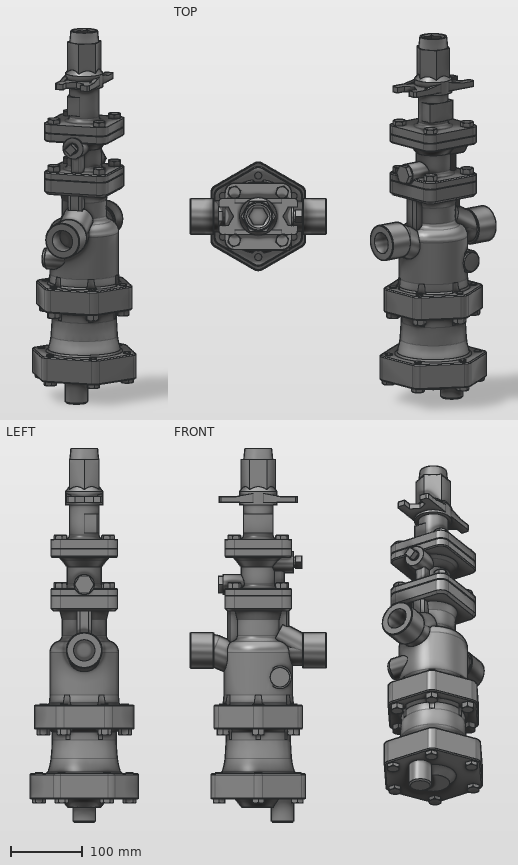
import cadquery as cq
import math

CAP_BOTTOM = 21.0
LOWER_FLANGE = (32.5, 68.0)
TUBE_RELIEF_BOTTOM = 116.0
MIDDLE_FLANGE = (130.0, 164.0)
SKIRT_TOP = 177.5
SHOULDER_BOTTOM = 237.0
PORT_AXIS = 240.0
CLAMP_FLANGE = (295.0, 327.0)
CLAMP_JOINT = 316.5
COVER_FLANGE = (370.0, 394.5)
COVER_JOINT = 382.0
WRENCH_FLAT = (404.0, 430.5)
HANDLE_RING = (443.0, 462.0)
NUT_TOP = 507.0
TOP = 522.0

CORNERS_ON_Y = 30
FLANGE_CHAMFER = 1.5
LOWER_FLANGE_FLATS = 134.5
LOWER_FLANGE_WIDTH = 132.5
LOWER_FLANGE_CORNER = 11.5
LOWER_BOLT_RADIUS = 63.0
MIDDLE_FLANGE_FLATS = 124.0
MIDDLE_FLANGE_WIDTH = 123.5
MIDDLE_FLANGE_CORNER = 13.0
MIDDLE_BOLT_RADIUS = 57.0
SQUARE_SIDE = 93.0
SQUARE_CORNER = 13.0
SQUARE_BOLT_OFFSET = 33.5
CLAMP_BOTTOM_CHAMFER = 3.5
JOINT_GAP = 1.0
JOINT_DEPTH = 0.5

BOLT_FLATS = 16.0
BOLT_CHAMFER = 1.3
BOLT_END_DIAMETER = 10.0
BOLT_END_HEIGHT = 1.5
CLAMP_BOLT_HEAD = 8.0
COVER_BOLT_HEAD = 6.5
SQUARE_BOLT_TURN = 15
MIDDLE_BOLT_HEAD = 8.5
LOWER_BOLT_HEAD = 6.0

BODY_RADIUS = 48.0
NECK_RADIUS = 62.0 / 2
TUBE_RADIUS = 45.0
STEM_RADIUS = 21.0
TUBE_RELIEF_RADIUS = 12.5
SKIRT_RELIEF_RADIUS = 10.0

PORT_DIAMETER = 50.0
PORT_END = 95.0
PORT_INNER = 62.0
PORT_BORE = 30.0
PORT_EDGE = 1.0
DUCT_LENGTH = 42.0


def across_corners(flats):
    """Corner-to-corner size of a hexagon."""
    return flats / math.cos(math.pi / 6)


def rod(start, direction, radius, length):
    """Solid cylinder from a start point along a direction."""
    return cq.Workplane(cq.Solid.makeCylinder(radius, length, cq.Vector(*start), cq.Vector(*direction)))


def hexagon(flats, bottom, height, turn=0):
    """Hexagonal prism on the Z axis, corners on X before turning."""
    prism = cq.Workplane().workplane(offset=bottom).polygon(6, across_corners(flats)).extrude(height)
    return prism.rotate((0, 0, 0), (0, 0, 1), turn)


def bolt_head(bottom, height, turn, free_end):
    """Hexagonal bolt head on the Z axis with the corners of its free end rounded down."""
    limit = (
        cq.Workplane()
        .workplane(offset=bottom)
        .circle(across_corners(BOLT_FLATS) / 2)
        .extrude(height)
        .faces(free_end)
        .chamfer(BOLT_CHAMFER)
    )
    return hexagon(BOLT_FLATS, bottom, height, turn).intersect(limit)


def revolve_profile(profile):
    """Solid of revolution about Z from an open outline that starts and ends on the axis."""
    return profile.close().revolve(360, (0, 0, 0), (0, 1, 0))


def six_around(radius):
    """Points of a six-bolt circle, the first one on +Y."""
    angles = [math.radians(90 + 60 * i) for i in range(6)]
    return [(radius * math.cos(a), radius * math.sin(a)) for a in angles]


def hex_flange(levels, flats, width, corner, bolt_radius, head_height):
    """Flange with corners along Y, trimmed along X, with bolt heads below and bolt ends above."""
    bottom, top = levels
    side_limit = cq.Workplane().workplane(offset=bottom).rect(width, 2 * flats).extrude(top - bottom)
    flange = (
        hexagon(flats, bottom, top - bottom, CORNERS_ON_Y)
        .intersect(side_limit)
        .edges("|Z")
        .fillet(corner)
        .faces("<Z or >Z")
        .chamfer(FLANGE_CHAMFER)
    )
    head = bolt_head(bottom - head_height, head_height, CORNERS_ON_Y, "<Z")
    for x, y in six_around(bolt_radius):
        flange = flange.union(head.translate((x, y, 0)))
    ends = (
        cq.Workplane()
        .workplane(offset=top)
        .pushPoints(six_around(bolt_radius))
        .circle(BOLT_END_DIAMETER / 2)
        .extrude(BOLT_END_HEIGHT)
    )
    return flange.union(ends)


def bolt_reliefs(bottom, top, radius):
    """Pockets that clear the bolts of the middle flange."""
    return (
        cq.Workplane()
        .workplane(offset=bottom)
        .pushPoints(six_around(MIDDLE_BOLT_RADIUS))
        .circle(radius)
        .extrude(top - bottom)
    )


def square_flange(levels, joint, head_height, bottom_chamfer, top_chamfer=0):
    """Bolted flange pair with a thin recess at the joint and four bolts on top."""
    bottom, top = levels
    flange = (
        cq.Workplane()
        .workplane(offset=bottom)
        .rect(SQUARE_SIDE, SQUARE_SIDE)
        .extrude(top - bottom)
        .edges("|Z")
        .fillet(SQUARE_CORNER)
        .faces("<Z")
        .chamfer(bottom_chamfer)
    )
    if top_chamfer:
        flange = flange.faces(">Z").chamfer(top_chamfer)
    inner_side = SQUARE_SIDE - 2 * JOINT_DEPTH
    core = (
        cq.Workplane()
        .workplane(offset=joint - JOINT_GAP / 2)
        .rect(inner_side, inner_side)
        .extrude(JOINT_GAP)
        .edges("|Z")
        .fillet(SQUARE_CORNER - JOINT_DEPTH)
    )
    band = cq.Workplane().box(2 * SQUARE_SIDE, 2 * SQUARE_SIDE, JOINT_GAP).translate((0, 0, joint))
    flange = flange.cut(band.cut(core))
    head = bolt_head(top, head_height, SQUARE_BOLT_TURN, ">Z")
    for x in (-SQUARE_BOLT_OFFSET, SQUARE_BOLT_OFFSET):
        for y in (-SQUARE_BOLT_OFFSET, SQUARE_BOLT_OFFSET):
            flange = flange.union(head.translate((x, y, 0)))
    return flange


def bottom_cap():
    """Dished cap under the lower flange, with an offset drain stub."""
    cap_radius = 32.5
    cap_floor_radius = 23.0
    stub_diameter = 32.0
    stub_offset = 34.0
    stub_chamfer = 2.0
    flange_bottom = LOWER_FLANGE[0]
    cap = revolve_profile(
        cq.Workplane("XZ")
        .moveTo(0, CAP_BOTTOM)
        .lineTo(cap_floor_radius, CAP_BOTTOM)
        .lineTo(cap_radius, flange_bottom)
        .lineTo(0, flange_bottom)
    )
    stub = (
        cq.Workplane()
        .center(stub_offset, 0)
        .circle(stub_diameter / 2)
        .extrude(flange_bottom)
        .faces("<Z")
        .chamfer(stub_chamfer)
    )
    return cap.union(stub)


def lower_tube():
    """Tube between the hexagonal flanges, flaring out towards the lower one."""
    flare_top = 115.0
    flare_start = (46.5, 89.5)
    flare_middle = (48.0, 80.0)
    flare_end = (50.5, 70.5)
    foot_radius = 54.0
    collar_radius = 49.0
    collar_height = 4.0
    return revolve_profile(
        cq.Workplane("XZ")
        .moveTo(0, LOWER_FLANGE[1])
        .lineTo(foot_radius, LOWER_FLANGE[1])
        .lineTo(*flare_end)
        .threePointArc(flare_middle, flare_start)
        .lineTo(TUBE_RADIUS, flare_top)
        .lineTo(TUBE_RADIUS, MIDDLE_FLANGE[0] - collar_height)
        .lineTo(collar_radius, MIDDLE_FLANGE[0])
        .lineTo(0, MIDDLE_FLANGE[0])
    )


def body():
    """Main body with a round shoulder and a neck that widens below the clamp flange."""
    skirt_radius = 49.0
    skirt_fillet = 2.5
    shoulder_round = 16.5
    neck_fillet = 8.5
    neck_straight_top = 283.0
    neck_top_radius = 34.0
    flange_top = MIDDLE_FLANGE[1]
    round_centre = BODY_RADIUS - shoulder_round
    tangent_angle = math.acos((NECK_RADIUS + neck_fillet - round_centre) / (shoulder_round + neck_fillet))
    tangent_radius = round_centre + shoulder_round * math.cos(tangent_angle)
    tangent_level = SHOULDER_BOTTOM + shoulder_round * math.sin(tangent_angle)
    neck_bottom = SHOULDER_BOTTOM + (shoulder_round + neck_fillet) * math.sin(tangent_angle)
    return revolve_profile(
        cq.Workplane("XZ")
        .moveTo(0, flange_top)
        .lineTo(skirt_radius + skirt_fillet, flange_top)
        .lineTo(skirt_radius, flange_top + skirt_fillet)
        .lineTo(BODY_RADIUS, SKIRT_TOP)
        .lineTo(BODY_RADIUS, SHOULDER_BOTTOM)
        .radiusArc((tangent_radius, tangent_level), -shoulder_round)
        .radiusArc((NECK_RADIUS, neck_bottom), neck_fillet)
        .lineTo(NECK_RADIUS, neck_straight_top)
        .lineTo(neck_top_radius, CLAMP_FLANGE[0])
        .lineTo(0, CLAMP_FLANGE[0])
    )


def upper_neck():
    """Neck between the square flanges."""
    neck_radius = 24.0
    base_fillet = 6.0
    flare_bottom = 356.5
    flare_step = (31.0, 365.5)
    flare_radius = 35.0
    bottom = CLAMP_FLANGE[1]
    return revolve_profile(
        cq.Workplane("XZ")
        .moveTo(0, bottom)
        .lineTo(neck_radius + base_fillet, bottom)
        .radiusArc((neck_radius, bottom + base_fillet), base_fillet)
        .lineTo(neck_radius, flare_bottom)
        .lineTo(*flare_step)
        .lineTo(flare_radius, COVER_FLANGE[0])
        .lineTo(0, COVER_FLANGE[0])
    )


def stem():
    """Round stem on the cover with a flat-sided pad on its front half."""
    base_fillet = 6.5
    pad_side = -18.0
    pad_front = -21.0
    bottom = COVER_FLANGE[1]
    shaft = revolve_profile(
        cq.Workplane("XZ")
        .moveTo(0, bottom)
        .lineTo(STEM_RADIUS + base_fillet, bottom)
        .radiusArc((STEM_RADIUS, bottom + base_fillet), base_fillet)
        .lineTo(STEM_RADIUS, HANDLE_RING[0])
        .lineTo(0, HANDLE_RING[0])
    )
    pad_bottom, pad_top = WRENCH_FLAT
    pad = (
        cq.Workplane()
        .workplane(offset=pad_bottom)
        .moveTo(-STEM_RADIUS, 0)
        .lineTo(-STEM_RADIUS, pad_side)
        .threePointArc((0, pad_front), (STEM_RADIUS, pad_side))
        .lineTo(STEM_RADIUS, 0)
        .close()
        .extrude(pad_top - pad_bottom)
    )
    return shaft.union(pad)


def top_nut():
    """Hexagonal nut on the handle ring, ending in a conical tip with a hexagonal socket."""
    nut_flats = 42.0
    ring_radius = 26.0
    slope_height = 7.0
    tip_base_radius = 20.5
    tip_radius = 19.0
    socket_flats = 23.5
    socket_depth = 10.5
    countersink_radius = 16.0
    countersink_depth = 2.0
    ring_bottom, ring_top = HANDLE_RING
    ring = revolve_profile(
        cq.Workplane("XZ")
        .moveTo(0, ring_bottom)
        .lineTo(ring_radius, ring_bottom)
        .lineTo(ring_radius, ring_top)
        .lineTo(nut_flats / 2, ring_top + slope_height)
        .lineTo(0, ring_top + slope_height)
    )
    tip = revolve_profile(
        cq.Workplane("XZ")
        .moveTo(0, NUT_TOP)
        .lineTo(tip_base_radius, NUT_TOP)
        .lineTo(tip_radius, TOP)
        .lineTo(0, TOP)
    )
    nut = hexagon(nut_flats, ring_top, NUT_TOP - ring_top)
    socket = hexagon(socket_flats, TOP - socket_depth, socket_depth)
    countersink = revolve_profile(
        cq.Workplane("XZ")
        .moveTo(0, TOP)
        .lineTo(countersink_radius, TOP)
        .lineTo(socket_flats / 2, TOP - countersink_depth)
        .lineTo(0, TOP - countersink_depth)
    )
    return ring.union(nut).union(tip).cut(socket).cut(countersink)


def handle():
    """Flat double-ended spanner through the ring, with sloping ribs along its long sides."""
    half_length = 55.0
    half_width = 25.0
    plate_bottom, plate_top = 447.0, 454.5
    jaw_flats = 25.5
    jaw_root = 34.5
    tip_chamfer = 2.5
    rib_width = 6.5
    rib_length = 32.5
    rib_top = 459.5
    rib_crest = 7.0
    thickness = plate_top - plate_bottom

    plate = (
        cq.Workplane()
        .box(2 * half_length, 2 * half_width, thickness)
        .edges("|Z")
        .chamfer(tip_chamfer)
        .translate((0, 0, plate_bottom + thickness / 2))
    )
    jaw_centre = jaw_root + across_corners(jaw_flats) / 2
    jaw = hexagon(jaw_flats, plate_bottom, thickness)
    for side in (-1, 1):
        mouth = cq.Workplane().box(jaw_flats, jaw_flats, 2 * thickness)
        mouth = mouth.translate((jaw_centre + jaw_flats / 2, 0, plate_bottom + thickness / 2))
        opening = jaw.translate((jaw_centre, 0, 0)).union(mouth)
        plate = plate.cut(opening.mirror("YZ") if side < 0 else opening)
    rib = (
        cq.Workplane("XZ", origin=(0, rib_width / 2, 0))
        .polyline(
            [
                (-rib_length, plate_bottom),
                (rib_length, plate_bottom),
                (rib_length, plate_top),
                (rib_crest, rib_top),
                (-rib_crest, rib_top),
                (-rib_length, plate_top),
            ]
        )
        .close()
        .extrude(rib_width)
    )
    rib_offset = half_width - rib_width / 2
    for side in (-1, 1):
        plate = plate.union(rib.translate((0, side * rib_offset, 0)))
    return plate


def pipe_port(side, duct_radius):
    """Round end on one side with a ball elbow at its inner end."""
    elbow = (side * PORT_INNER, 0, PORT_AXIS)
    end = rod(elbow, (side, 0, 0), PORT_DIAMETER / 2, PORT_END - PORT_INNER)
    ball = cq.Workplane().sphere(duct_radius).translate(elbow)
    return end.faces("<X or >X").chamfer(PORT_EDGE).union(ball)


def inlet_port():
    """Port at -X with a duct that falls towards the body."""
    duct_radius = 22.0
    tilt = math.radians(23)
    direction = (math.cos(tilt), 0, -math.sin(tilt))
    duct = rod((-PORT_INNER, 0, PORT_AXIS), direction, duct_radius, DUCT_LENGTH)
    return pipe_port(-1, duct_radius).union(duct)


def outlet_port():
    """Port at +X with one level duct to the body and one that rises to the neck."""
    duct_radius = 21.5
    tilt = math.radians(28)
    port = pipe_port(1, duct_radius)
    for direction in ((-1, 0, 0), (-math.cos(tilt), 0, math.sin(tilt))):
        port = port.union(rod((PORT_INNER, 0, PORT_AXIS), direction, duct_radius, DUCT_LENGTH))
    return port


def port_bores():
    """Blind bores in the two port ends."""
    depth = PORT_END - PORT_INNER
    left = rod((-PORT_END, 0, PORT_AXIS), (1, 0, 0), PORT_BORE / 2, depth)
    return left.union(left.mirror("YZ"))


def neck_ribs():
    """Two ribs from the clamp flange down to the ports, narrower at their outer face."""
    outer_reach = 43.0
    bevel_reach = 39.5
    half_width = 10.5
    outer_half_width = 6.0
    rib = (
        cq.Workplane()
        .workplane(offset=PORT_AXIS)
        .polyline(
            [
                (0, -half_width),
                (bevel_reach, -half_width),
                (outer_reach, -outer_half_width),
                (outer_reach, outer_half_width),
                (bevel_reach, half_width),
                (0, half_width),
            ]
        )
        .close()
        .extrude(CLAMP_FLANGE[0] - PORT_AXIS)
    )
    return rib.union(rib.mirror("YZ"))


def outlet_side_plug():
    """Boss under the cover flange on the +X side, with a square-headed plug."""
    boss_diameter = 30.0
    boss_end = 49.0
    axis = 363.5
    shank_radius = 7.5
    shank_end = 51.5
    head_diagonal = 17.0
    head_end = 61.0
    web_end = 36.5
    web_width = 15.5
    web_round = 3.5
    plug = rod((0, 0, axis), (1, 0, 0), boss_diameter / 2, boss_end)
    plug = plug.union(rod((0, 0, axis), (1, 0, 0), shank_radius, shank_end))
    head = (
        cq.Workplane("YZ", origin=(shank_end, 0, axis))
        .polygon(4, head_diagonal)
        .extrude(head_end - shank_end)
    )
    web_height = axis - CLAMP_FLANGE[1]
    web = (
        cq.Workplane()
        .box(web_end, web_width, web_height, centered=(False, True, False))
        .edges("|Z and >X")
        .fillet(web_round)
    )
    return plug.union(head).union(web.translate((0, 0, CLAMP_FLANGE[1])))


def inlet_side_plug():
    """Boss over the clamp flange on the -X side, with a hexagonal plug."""
    boss_diameter = 28.0
    boss_end = 49.0
    axis = 332.0
    head_flats = 23.5
    head_end = 56.0
    boss = rod((0, 0, axis), (-1, 0, 0), boss_diameter / 2, boss_end)
    head = (
        cq.Workplane("YZ", origin=(-head_end, 0, axis))
        .polygon(6, across_corners(head_flats))
        .extrude(head_end - boss_end)
    )
    return boss.union(head)


def front_plug():
    """Round boss with a stepped plug on the front of the body."""
    plug_x = 30.5
    plug_z = 202.5
    boss_diameter = 32.0
    boss_front = 43.5
    plug_diameter = 27.0
    plug_front = 47.5
    boss = rod((plug_x, 0, plug_z), (0, -1, 0), boss_diameter / 2, boss_front)
    return boss.union(rod((plug_x, 0, plug_z), (0, -1, 0), plug_diameter / 2, plug_front))


lower_part = lower_tube().cut(bolt_reliefs(TUBE_RELIEF_BOTTOM, MIDDLE_FLANGE[0], TUBE_RELIEF_RADIUS))
main_part = body().cut(bolt_reliefs(MIDDLE_FLANGE[1], SKIRT_TOP, SKIRT_RELIEF_RADIUS))

lower_hex_flange = hex_flange(
    LOWER_FLANGE,
    LOWER_FLANGE_FLATS,
    LOWER_FLANGE_WIDTH,
    LOWER_FLANGE_CORNER,
    LOWER_BOLT_RADIUS,
    LOWER_BOLT_HEAD,
)
middle_hex_flange = hex_flange(
    MIDDLE_FLANGE,
    MIDDLE_FLANGE_FLATS,
    MIDDLE_FLANGE_WIDTH,
    MIDDLE_FLANGE_CORNER,
    MIDDLE_BOLT_RADIUS,
    MIDDLE_BOLT_HEAD,
)
clamp = square_flange(CLAMP_FLANGE, CLAMP_JOINT, CLAMP_BOLT_HEAD, CLAMP_BOTTOM_CHAMFER, FLANGE_CHAMFER)
cover = square_flange(COVER_FLANGE, COVER_JOINT, COVER_BOLT_HEAD, FLANGE_CHAMFER)

sections = [
    bottom_cap(),
    lower_hex_flange,
    middle_hex_flange,
    main_part,
    inlet_port(),
    outlet_port(),
    neck_ribs(),
    front_plug(),
    clamp,
    upper_neck(),
    outlet_side_plug(),
    inlet_side_plug(),
    cover,
    stem(),
    top_nut(),
    handle(),
]

result = lower_part
for section in sections:
    result = result.union(section)
result = result.cut(port_bores())